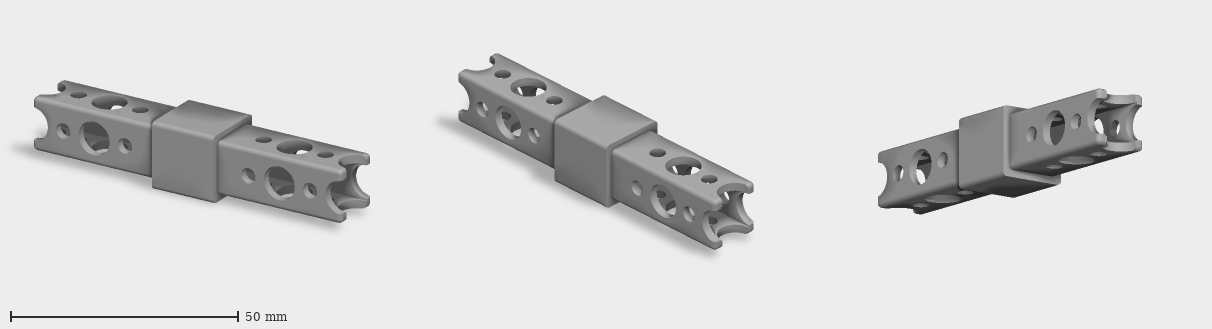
import cadquery as cq

tube_length = 80.0
tube_width = 12.7
wall = 2.0
bore_width = tube_width - 2 * wall

sleeve_length = 16.0
sleeve_width = 16.0

edge_radius = 1.0

hole_pitch = 8.0
large_diameter = 8.0
small_diameter = 3.7
tube_end = tube_length / 2
large_hole_positions = [tube_end, tube_end - 2 * hole_pitch]
small_hole_positions = [tube_end - hole_pitch, tube_end - 3 * hole_pitch]


def make_tube_blank():
    """Solid bar with every outer edge rounded, including the end edges."""
    return cq.Workplane("XY").box(tube_length, tube_width, tube_width).edges().fillet(edge_radius)


def make_sleeve():
    """Square collar with rounded lengthwise edges and sharp ends."""
    block = cq.Workplane("XY").box(sleeve_length, sleeve_width, sleeve_width)
    return block.edges("|X").fillet(edge_radius)


def make_bore():
    """Square passage through the whole length."""
    return cq.Workplane("XY").box(tube_length, bore_width, bore_width)


def make_hole_cutters(plane, positions, diameter):
    """Cylinders normal to the plane, at mirrored positions along X."""
    points = [(side * position, 0) for side in (-1, 1) for position in positions]
    cylinders = cq.Workplane(plane).pushPoints(points)
    return cylinders.circle(diameter / 2).extrude(tube_width / 2, both=True)


result = make_tube_blank().union(make_sleeve()).cut(make_bore())

for hole_plane in ("XY", "XZ"):
    result = result.cut(make_hole_cutters(hole_plane, large_hole_positions, large_diameter))
    result = result.cut(make_hole_cutters(hole_plane, small_hole_positions, small_diameter))